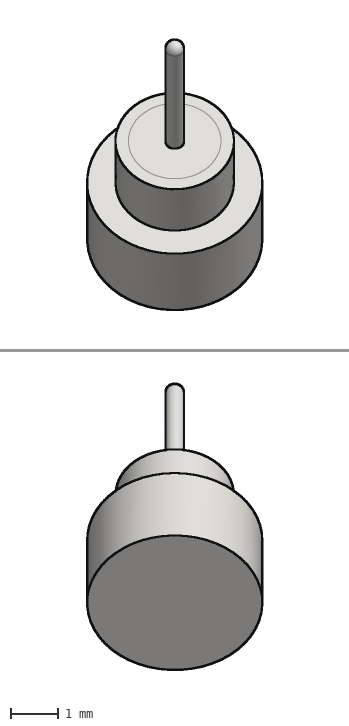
import cadquery as cq

total_height = 7.1
base_radius = 3.7 / 2
base_height = 2.05
collar_radius = 2.5 / 2
collar_height = 1.5
insulator_radius = 1.95 / 2
pin_radius = 0.4 / 2
tip_height = 0.185

collar_top = base_height + collar_height
tip_start = total_height - tip_height

tip_sphere_radius = (pin_radius**2 + tip_height**2) / (2 * tip_height)
tip_center = total_height - tip_sphere_radius
arc_mid_radius = pin_radius / 2
arc_mid_height = tip_center + (tip_sphere_radius**2 - arc_mid_radius**2) ** 0.5

result = (
    cq.Workplane("XZ")
    .moveTo(0, 0)
    .lineTo(base_radius, 0)
    .lineTo(base_radius, base_height)
    .lineTo(collar_radius, base_height)
    .lineTo(collar_radius, collar_top)
    .lineTo(insulator_radius, collar_top)
    .lineTo(pin_radius, collar_top)
    .lineTo(pin_radius, tip_start)
    .threePointArc((arc_mid_radius, arc_mid_height), (0, total_height))
    .close()
    .revolve(360, (0, 0, 0), (0, 1, 0), clean=False)
)